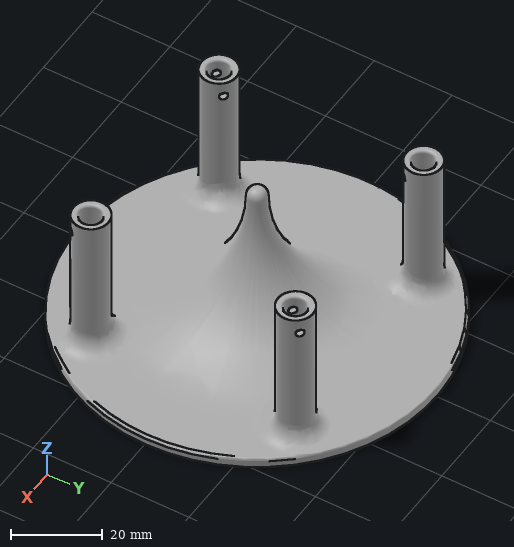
import cadquery as cq
import math

plate_diameter = 92.4
plate_thickness = 2.5
rim_round = 0.7
plate_radius = plate_diameter / 2

overall_height = 40.0
tip_radius = 2.5
tip_base_height = overall_height - tip_radius
flare_radius = tip_base_height - plate_thickness
flare_foot_radius = tip_radius + flare_radius

post_count = 4
post_diameter = 9.0
post_edge_distance = 9.0
post_circle_radius = plate_radius - post_edge_distance
post_first_angle = 45.0
post_foot_fillet = 5.0
bore_diameter = 5.5
bore_mouth_round = 0.75
bore_floor_height = plate_thickness
cross_hole_diameter = 2.0
cross_hole_depth = 4.0
cross_hole_height = overall_height - cross_hole_depth

diagonal = math.sqrt(0.5)

post_angles = [post_first_angle + i * 360.0 / post_count for i in range(post_count)]


def post_position(angle):
    turn = math.radians(angle)
    return post_circle_radius * math.cos(turn), post_circle_radius * math.sin(turn)


def make_plate_and_spike():
    """Round-edged plate and spike, revolved about Z from one half profile."""
    rim_inner_radius = plate_radius - rim_round
    rim_base_height = plate_thickness - rim_round
    rim_middle = (
        rim_inner_radius + rim_round * diagonal,
        rim_base_height + rim_round * diagonal,
    )
    flare_middle = (
        flare_foot_radius - flare_radius * diagonal,
        tip_base_height - flare_radius * diagonal,
    )
    tip_middle = (tip_radius * diagonal, tip_base_height + tip_radius * diagonal)
    return (
        cq.Workplane("XZ")
        .lineTo(plate_radius, 0)
        .lineTo(plate_radius, rim_base_height)
        .threePointArc(rim_middle, (rim_inner_radius, plate_thickness))
        .lineTo(flare_foot_radius, plate_thickness)
        .threePointArc(flare_middle, (tip_radius, tip_base_height))
        .threePointArc(tip_middle, (0, overall_height))
        .close()
        .revolve(360, (0, 0, 0), (0, 1, 0))
    )


def add_post(body, angle):
    """Join one solid post, starting at the underside of the plate."""
    x, y = post_position(angle)
    post = cq.Workplane("XY").center(x, y).circle(post_diameter / 2).extrude(overall_height)
    return body.union(post)


def round_post_foot(body, angle):
    """Fillet the edges where one post meets the plate and the flare."""
    x, y = post_position(angle)
    reach = post_diameter / 2
    foot_zone = cq.selectors.BoxSelector(
        (x - reach, y - reach, plate_thickness / 2),
        (x + reach, y + reach, plate_thickness + post_foot_fillet),
    )
    return body.edges(foot_zone).fillet(post_foot_fillet)


def cut_bore(body, angle):
    """Sink the blind bore of one post and round over its mouth."""
    x, y = post_position(angle)
    bore_radius = bore_diameter / 2
    mouth_radius = bore_radius + bore_mouth_round
    mouth_base_height = overall_height - bore_mouth_round
    mouth_middle = (
        mouth_radius - bore_mouth_round * diagonal,
        mouth_base_height + bore_mouth_round * diagonal,
    )
    bore = (
        cq.Workplane("XZ", origin=(x, y, 0))
        .moveTo(0, bore_floor_height)
        .lineTo(bore_radius, bore_floor_height)
        .lineTo(bore_radius, mouth_base_height)
        .threePointArc(mouth_middle, (mouth_radius, overall_height))
        .lineTo(0, overall_height)
        .close()
        .revolve(360, (0, 0, 0), (0, 1, 0))
    )
    return body.cut(bore)


def cut_cross_hole(body, angle):
    """Drill across both walls of one post, along the plate radius through it."""
    x, y = post_position(angle)
    hole = (
        cq.Workplane("YZ")
        .circle(cross_hole_diameter / 2)
        .extrude(post_diameter / 2, both=True)
        .rotate((0, 0, 0), (0, 0, 1), angle)
        .translate((x, y, cross_hole_height))
    )
    return body.cut(hole)


part = make_plate_and_spike()
for post_angle in post_angles:
    part = add_post(part, post_angle)
for post_angle in post_angles:
    part = round_post_foot(part, post_angle)
for post_angle in post_angles:
    part = cut_bore(part, post_angle)
    part = cut_cross_hole(part, post_angle)

result = part